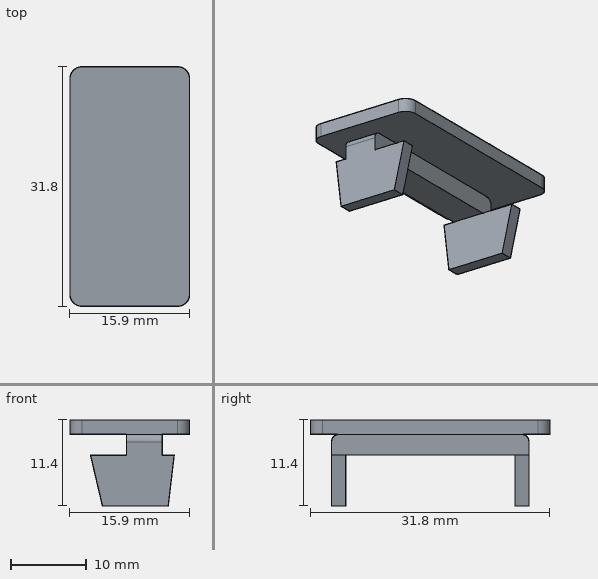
import cadquery as cq

PLATE_WIDTH = 15.875
PLATE_LENGTH = 31.75
PLATE_THICKNESS = 1.905
PLATE_CORNER_RADIUS = 1.5875
TOTAL_HEIGHT = 11.43

RAIL_LEFT = -0.45
RAIL_WIDTH = 4.7625
RAIL_LENGTH = 26.194
RAIL_HEIGHT = 2.778
RAIL_END_RADIUS = 1.016

LEG_THICKNESS = PLATE_THICKNESS
LEG_LEFT_OVERHANG = RAIL_WIDTH
LEG_RIGHT_OVERHANG = 1.5875
LEG_TOP_LEFT = RAIL_LEFT - LEG_LEFT_OVERHANG
LEG_TOP_RIGHT = RAIL_LEFT + RAIL_WIDTH + LEG_RIGHT_OVERHANG
LEG_LEFT_TAPER = 1.5875
LEG_RIGHT_TAPER = LEG_LEFT_TAPER / 2

PLATE_BOTTOM = TOTAL_HEIGHT - PLATE_THICKNESS
LEG_HEIGHT = PLATE_BOTTOM - RAIL_HEIGHT


def make_plate():
    """Flat rectangular plate with rounded vertical corners."""
    plate = cq.Workplane("XY", origin=(0, 0, PLATE_BOTTOM))
    plate = plate.rect(PLATE_WIDTH, PLATE_LENGTH).extrude(PLATE_THICKNESS)
    return plate.edges("|Z").fillet(PLATE_CORNER_RADIUS)


def make_rail():
    """Bar along Y with rounded upper ends."""
    rail = cq.Workplane("XY").box(RAIL_WIDTH, RAIL_LENGTH, RAIL_HEIGHT, centered=(False, True, False))
    rail = rail.edges("|X and >Z").fillet(RAIL_END_RADIUS)
    return rail.translate((RAIL_LEFT, 0, LEG_HEIGHT))


def make_leg(front_y):
    """Tapered leg whose front face lies at front_y."""
    outline = [
        (LEG_TOP_LEFT, LEG_HEIGHT),
        (LEG_TOP_RIGHT, LEG_HEIGHT),
        (LEG_TOP_RIGHT - LEG_RIGHT_TAPER, 0),
        (LEG_TOP_LEFT + LEG_LEFT_TAPER, 0),
    ]
    leg = cq.Workplane("XZ", origin=(0, front_y, 0)).polyline(outline).close()
    return leg.extrude(-LEG_THICKNESS)


result = make_plate().union(make_rail())
for leg_front_y in (-RAIL_LENGTH / 2, RAIL_LENGTH / 2 - LEG_THICKNESS):
    result = result.union(make_leg(leg_front_y))